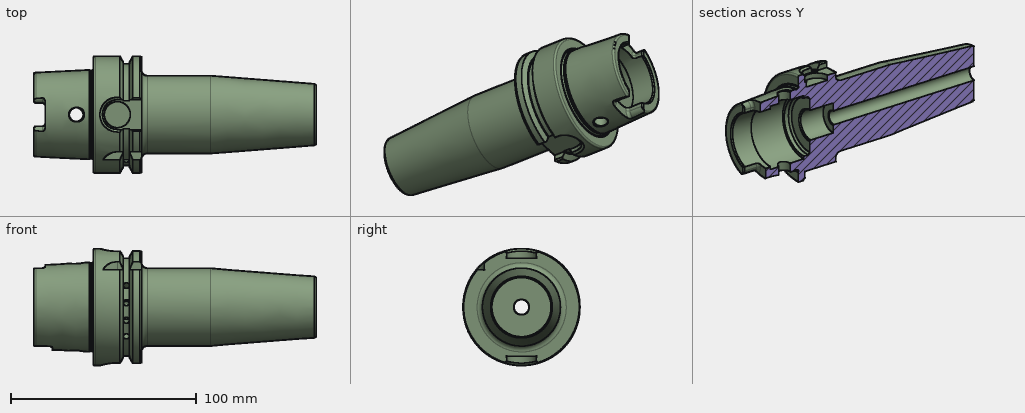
import cadquery as cq
import math


shank_end = -32.0
flange_end = 26.0
neck_end = 63.0
nose_end = 120.0

shank_taper = 0.1
shank_root_radius = 24.1
shank_rounding = 1.0
undercut_width = 2.2
undercut_radius = 23.8
undercut_flank = 0.7
relief_inner_radius = 24.5
relief_outer_radius = 25.4
relief_depth = 0.4

flange_radius = 31.5
flange_front_rounding = 1.0
flange_back_chamfer = 1.0
flange_back_chamfer_height = 0.4
groove_centre = 17.85
groove_top_width = 7.0
groove_floor_width = 3.3
groove_floor_radius = 27.45
groove_flank_angle = 30.0

neck_radius = 21.0
neck_fillet = 3.0
nose_radius = 16.6
nose_chamfer = 1.0
nose_chamfer_height = 0.7

mouth_radius = 17.7
mouth_chamfer = 0.8
cavity_radius = 17.0
clamp_groove_start = -18.6
clamp_groove_radius = 18.5
clamp_groove_end = 4.0
cavity_floor = 8.0
cavity_cone_height = 1.2
thread_radius = 8.7
thread_chamfer = 0.7
thread_floor = 24.0
coolant_radius = 4.0
coolant_chamfer = 0.3

key_half_width = 6.2
key_depth_top = 6.2
key_depth_bottom = 10.0
key_corner_radius = 1.6
key_flare_radius = 3.0
key_flare_start = 18.0
key_lead_in_width = 1.0
key_lead_in_length = 0.8

cross_hole_x = -9.1
cross_hole_radius = 3.7
cross_hole_mouth_radius = 4.3
cross_hole_chamfer = 0.5

drive_slot_half_width = 8.0
drive_slot_centre = 13.0
drive_slot_floor = 26.4
drive_slot_chamfer = 1.4
drive_slot_rear_chamfer = 1.0
chip_pocket_radius = 7.0
chip_pocket_depth = 3.0

notch_offset = 20.0
notch_end_centre = 13.0
notch_end_radius = 9.0

balance_hole_radius = 1.65
balance_hole_depth = 8.0
balance_hole_tip = 1.0
balance_hole_overrun = 1.0
balance_hole_angles = (25.0, 5.0, -15.0, -35.0)

clearance = 5.0
selection_margin = 0.4


def revolve_about_x(points):
    """Solid of revolution from (x, radius) points, closed along the axis."""
    outline = [(points[0][0], 0)] + points + [(points[-1][0], 0)]
    return cq.Workplane("XY").polyline(outline).close().revolve(360, (0, 0, 0), (1, 0, 0))


def shank_radius(x):
    return shank_root_radius + (x + undercut_width) * shank_taper / 2


def outer_body():
    shank_edge_x = shank_end + shank_rounding
    shank_edge_radius = shank_radius(shank_edge_x)
    half_top = groove_top_width / 2
    half_floor = groove_floor_width / 2
    flank_depth = (half_top - half_floor) / math.tan(math.radians(groove_flank_angle))
    flank_radius = flange_radius - flank_depth
    arc_dip = 1 - math.sqrt(0.5)
    outline = (
        cq.Workplane("XY")
        .moveTo(shank_end, 0)
        .lineTo(shank_end, shank_edge_radius - shank_rounding)
        .threePointArc(
            (shank_end + shank_rounding * arc_dip, shank_edge_radius - shank_rounding * arc_dip),
            (shank_edge_x, shank_edge_radius),
        )
        .lineTo(-undercut_width, shank_root_radius)
        .lineTo(-undercut_width + undercut_flank, undercut_radius)
        .lineTo(-undercut_flank, undercut_radius)
        .lineTo(relief_depth, relief_inner_radius)
        .lineTo(relief_depth, relief_outer_radius - relief_depth)
        .lineTo(0, relief_outer_radius)
        .lineTo(0, flange_radius - flange_front_rounding)
        .threePointArc(
            (flange_front_rounding * arc_dip, flange_radius - flange_front_rounding * arc_dip),
            (flange_front_rounding, flange_radius),
        )
        .lineTo(groove_centre - half_top, flange_radius)
        .lineTo(groove_centre - half_floor, flank_radius)
        .lineTo(groove_centre - half_floor, groove_floor_radius)
        .lineTo(groove_centre + half_floor, groove_floor_radius)
        .lineTo(groove_centre + half_floor, flank_radius)
        .lineTo(groove_centre + half_top, flange_radius)
        .lineTo(flange_end - flange_back_chamfer, flange_radius)
        .lineTo(flange_end, flange_radius - flange_back_chamfer_height)
        .lineTo(flange_end, neck_radius + neck_fillet)
        .threePointArc(
            (flange_end + neck_fillet * arc_dip, neck_radius + neck_fillet * arc_dip),
            (flange_end + neck_fillet, neck_radius),
        )
        .lineTo(neck_end, neck_radius)
        .lineTo(nose_end - nose_chamfer, nose_radius)
        .lineTo(nose_end, nose_radius - nose_chamfer_height)
        .lineTo(nose_end, 0)
        .close()
    )
    return outline.revolve(360, (0, 0, 0), (1, 0, 0))


def cavity():
    cone_radius = cavity_radius - cavity_cone_height
    return revolve_about_x([
        (shank_end, mouth_radius),
        (shank_end + mouth_chamfer, cavity_radius),
        (clamp_groove_start, cavity_radius),
        (clamp_groove_start, clamp_groove_radius),
        (clamp_groove_end, clamp_groove_radius),
        (clamp_groove_end, cavity_radius),
        (cavity_floor - cavity_cone_height, cavity_radius),
        (cavity_floor, cone_radius),
        (cavity_floor, thread_radius + thread_chamfer),
        (cavity_floor + thread_chamfer, thread_radius),
        (thread_floor, thread_radius),
        (thread_floor, coolant_radius + coolant_chamfer),
        (thread_floor + coolant_chamfer, coolant_radius),
        (nose_end, coolant_radius),
    ])


def key_slot(depth):
    """Slot across the +Z wall of the shank mouth, with walls flaring outward at the top."""
    flare_top = key_flare_start + key_flare_radius
    flare_half = key_half_width + key_flare_radius
    arc_in = key_flare_radius * (1 - math.sqrt(0.5))
    arc_up = key_flare_radius * math.sqrt(0.5)
    top = shank_root_radius + clearance
    profile = (
        cq.Workplane("YZ", origin=(shank_end - clearance, 0, 0))
        .moveTo(-key_half_width, 0)
        .lineTo(key_half_width, 0)
        .lineTo(key_half_width, key_flare_start)
        .threePointArc(
            (key_half_width + arc_in, key_flare_start + arc_up),
            (flare_half, flare_top),
        )
        .lineTo(flare_half, top)
        .lineTo(-flare_half, top)
        .lineTo(-flare_half, flare_top)
        .threePointArc(
            (-key_half_width - arc_in, key_flare_start + arc_up),
            (-key_half_width, key_flare_start),
        )
        .close()
    )
    slot = profile.extrude(depth + clearance)
    slot = slot.faces(">X").edges("not (<Z or >Z)").fillet(key_corner_radius)
    mouth_half_width = key_half_width + key_lead_in_width
    lead_in = (
        cq.Workplane("XY")
        .polyline([
            (shank_end, -mouth_half_width),
            (shank_end + key_lead_in_length, -key_half_width),
            (shank_end + key_lead_in_length, key_half_width),
            (shank_end, mouth_half_width),
        ])
        .close()
        .extrude(top)
    )
    return slot.union(lead_in)


def cross_hole():
    length = shank_radius(cross_hole_x)
    half = (
        cq.Workplane("XZ")
        .polyline([
            (0, 0),
            (cross_hole_radius, 0),
            (cross_hole_radius, length - cross_hole_chamfer),
            (cross_hole_mouth_radius, length),
            (cross_hole_mouth_radius, length + clearance),
            (0, length + clearance),
        ])
        .close()
        .revolve(360, (0, 0, 0), (0, 1, 0))
        .translate((cross_hole_x, 0, 0))
    )
    return half.union(half.mirror("XY"))


def round_end_slot(half_width, centre_x, floor):
    """Slot open towards +X with a round end, cut upward from the floor."""
    height = flange_radius + clearance - floor
    length = flange_end + clearance - centre_x
    end = cq.Workplane("XY", origin=(centre_x, 0, floor)).circle(half_width).extrude(height)
    run = (
        cq.Workplane("XY", origin=(centre_x, 0, floor))
        .rect(length, 2 * half_width)
        .extrude(height)
        .translate((length / 2, 0, 0))
    )
    return end.union(run)


def chip_pocket():
    return (
        cq.Workplane("XY", origin=(drive_slot_centre, 0, drive_slot_floor - chip_pocket_depth))
        .circle(chip_pocket_radius)
        .extrude(chip_pocket_depth)
    )


def orientation_notch():
    centre_y = -notch_offset - notch_end_radius
    slot = round_end_slot(notch_end_radius, notch_end_centre, notch_offset)
    return slot.translate((0, centre_y, 0))


def balance_hole(angle):
    """Blind radial hole drilled from the groove floor, angle raised from -Y towards +Z."""
    outer = groove_floor_radius + balance_hole_overrun
    bottom = groove_floor_radius - balance_hole_depth
    hole = (
        cq.Workplane("XY")
        .polyline([
            (0, -outer),
            (balance_hole_radius, -outer),
            (balance_hole_radius, -bottom),
            (0, -bottom + balance_hole_tip),
        ])
        .close()
        .revolve(360, (0, 0, 0), (0, 1, 0))
    )
    return hole.translate((groove_centre, 0, 0)).rotate((0, 0, 0), (1, 0, 0), -angle)


def chamfer_zones():
    """Selectors for the upper rims of the drive slots, each with its chamfer size."""
    half_groove = groove_top_width / 2
    reach = drive_slot_half_width + selection_margin
    rim_height = math.sqrt(flange_radius**2 - drive_slot_half_width**2)
    low = rim_height - selection_margin
    high = flange_radius + selection_margin
    front = (drive_slot_centre - reach, groove_centre - half_groove + selection_margin, drive_slot_chamfer)
    rear = (groove_centre + half_groove - selection_margin, flange_end, drive_slot_rear_chamfer)
    for x_min, x_max, size in (front, rear):
        for z_min, z_max in ((low, high), (-high, -low)):
            yield cq.selectors.BoxSelector((x_min, -reach, z_min), (x_max, reach, z_max), True), size


drive_slot = round_end_slot(drive_slot_half_width, drive_slot_centre, drive_slot_floor)

result = outer_body().cut(cavity())
result = result.cut(key_slot(key_depth_top)).cut(key_slot(key_depth_bottom).mirror("XY"))
result = result.cut(cross_hole())
result = result.cut(drive_slot).cut(drive_slot.mirror("XY"))
for rim_edges, rim_chamfer in chamfer_zones():
    result = result.edges(rim_edges).chamfer(rim_chamfer)
result = result.cut(chip_pocket())
result = result.cut(orientation_notch())
for hole_angle in balance_hole_angles:
    result = result.cut(balance_hole(hole_angle))